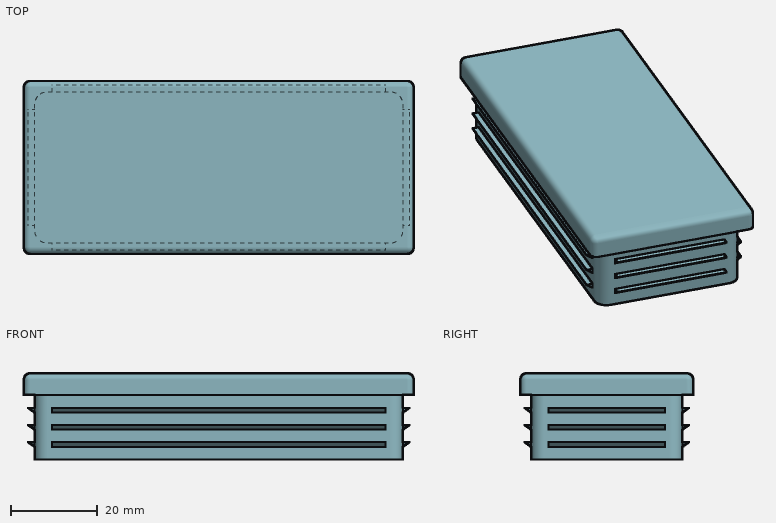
import cadquery as cq

cap_length = 90.0
cap_width = 40.0
cap_height = 5.0
cap_rounding = 1.5

total_height = 20.0
plug_inset = 2.5
plug_corner_radius = 3.0
plug_length = cap_length - 2 * plug_inset
plug_width = cap_width - 2 * plug_inset
plug_height = total_height - cap_height

barb_count = 3
barb_pitch = 4.0
barb_reach = 1.5
barb_height = 1.1
barb_end_gap = 1.1
top_barb_drop = 3.0
barb_root = 0.45
barb_setback = plug_corner_radius + barb_end_gap


def make_cap():
    """Plate with rounded corners and a rounded top edge."""
    cap = cq.Workplane("XY").workplane(offset=plug_height).rect(cap_length, cap_width).extrude(cap_height)
    return cap.edges("|Z or >Z").fillet(cap_rounding)


def make_plug():
    """Solid block with rounded vertical corners, standing on Z = 0."""
    plug = cq.Workplane("XY").rect(plug_length, plug_width).extrude(plug_height)
    return plug.edges("|Z").fillet(plug_corner_radius)


def make_barb(wall_distance, wall_length, top_z):
    """One barb on the +Y wall, running along X."""
    return (
        cq.Workplane("YZ")
        .moveTo(wall_distance - barb_root, top_z)
        .lineTo(wall_distance + barb_reach, top_z)
        .lineTo(wall_distance, top_z - barb_height)
        .lineTo(wall_distance - barb_root, top_z - barb_height)
        .close()
        .extrude(wall_length / 2 - barb_setback, both=True)
    )


result = make_cap().union(make_plug())

for level in range(barb_count):
    barb_top = plug_height - top_barb_drop - level * barb_pitch
    long_barb = make_barb(plug_width / 2, plug_length, barb_top)
    short_barb = make_barb(plug_length / 2, plug_width, barb_top).rotate((0, 0, 0), (0, 0, 1), 90)
    for barb in (long_barb, short_barb):
        result = result.union(barb)
        result = result.union(barb.rotate((0, 0, 0), (0, 0, 1), 180))